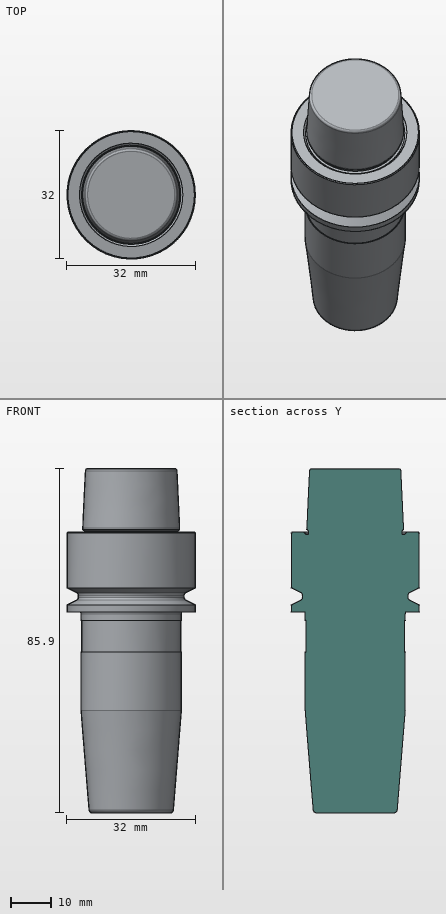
import cadquery as cq
import math

TOTAL_HEIGHT = 85.9
TAPER_TOP_Z = 25.6
SHANK_STEP_Z = 40.1
COLLAR_BOTTOM_Z = 48.0
FLANGE_BOTTOM_Z = 50.1
GROOVE_CENTER_Z = 54.0
BODY_TOP_Z = 70.1
CONE_BOTTOM_Z = 71.1

BODY_RADIUS = 16.02
SHANK_RADIUS = 12.5
NECK_RADIUS = 12.4
NOSE_RADIUS = 10.5
GROOVE_RADIUS = 13.2
CONE_BASE_RADIUS = 12.1
CONE_TOP_RADIUS = 11.4
UNDERCUT_RADIUS = 11.7
RELIEF_RADIUS = 12.9

NOSE_FILLET = 0.9
CONE_TOP_FILLET = 0.6
BODY_TOP_CHAMFER = 0.3
CONE_BASE_BAND = 0.4
COLLAR_FLARE_WIDTH = 0.1
COLLAR_FLARE_HEIGHT = 0.4
RELIEF_DEPTH = 0.5
UNDERCUT_HEIGHT = 0.35
GROOVE_FLAT = 0.5
GROOVE_FILLET = 0.8
GROOVE_FLANK_ANGLE = 26


def make_blank():
    """Revolve the shank, body and cone about the Z axis."""
    outline = [
        (0, 0),
        (NOSE_RADIUS, 0),
        (SHANK_RADIUS, TAPER_TOP_Z),
        (SHANK_RADIUS, SHANK_STEP_Z),
        (NECK_RADIUS, SHANK_STEP_Z),
        (NECK_RADIUS, COLLAR_BOTTOM_Z),
        (SHANK_RADIUS, COLLAR_BOTTOM_Z),
        (SHANK_RADIUS, FLANGE_BOTTOM_Z - COLLAR_FLARE_HEIGHT),
        (SHANK_RADIUS + COLLAR_FLARE_WIDTH, FLANGE_BOTTOM_Z),
        (BODY_RADIUS, FLANGE_BOTTOM_Z),
        (BODY_RADIUS, BODY_TOP_Z - BODY_TOP_CHAMFER),
        (BODY_RADIUS - BODY_TOP_CHAMFER, BODY_TOP_Z),
        (RELIEF_RADIUS, BODY_TOP_Z),
        (RELIEF_RADIUS - RELIEF_DEPTH, BODY_TOP_Z - RELIEF_DEPTH),
        (UNDERCUT_RADIUS, BODY_TOP_Z - RELIEF_DEPTH),
        (UNDERCUT_RADIUS, CONE_BOTTOM_Z - CONE_BASE_BAND - UNDERCUT_HEIGHT),
        (CONE_BASE_RADIUS, CONE_BOTTOM_Z - CONE_BASE_BAND),
        (CONE_BASE_RADIUS, CONE_BOTTOM_Z),
        (CONE_TOP_RADIUS, TOTAL_HEIGHT),
        (0, TOTAL_HEIGHT),
    ]
    blank = cq.Workplane("XZ").polyline(outline).close().revolve(360, (0, 0), (0, 1))
    blank = blank.faces("<Z").edges().fillet(NOSE_FILLET)
    return blank.faces(">Z").edges().fillet(CONE_TOP_FILLET)


def make_gripper_groove():
    """V-shaped ring with a flat floor and rounded floor corners, to be cut around the body."""
    flank_angle = math.radians(GROOVE_FLANK_ANGLE)
    sine = math.sin(flank_angle)
    cosine = math.cos(flank_angle)
    flat = GROOVE_FLAT / 2
    tangent_height = flat + GROOVE_FILLET * cosine
    tangent_radius = GROOVE_RADIUS + GROOVE_FILLET * (1 - sine)
    mouth = tangent_height + (BODY_RADIUS - tangent_radius) * math.tan(flank_angle)

    middle_angle = (math.pi / 2 - flank_angle) / 2
    middle_height = flat + GROOVE_FILLET * math.sin(middle_angle)
    middle_radius = GROOVE_RADIUS + GROOVE_FILLET * (1 - math.cos(middle_angle))

    profile = (
        cq.Workplane("XZ")
        .moveTo(GROOVE_RADIUS, GROOVE_CENTER_Z - flat)
        .threePointArc(
            (middle_radius, GROOVE_CENTER_Z - middle_height),
            (tangent_radius, GROOVE_CENTER_Z - tangent_height),
        )
        .lineTo(BODY_RADIUS, GROOVE_CENTER_Z - mouth)
        .lineTo(BODY_RADIUS, GROOVE_CENTER_Z + mouth)
        .lineTo(tangent_radius, GROOVE_CENTER_Z + tangent_height)
        .threePointArc(
            (middle_radius, GROOVE_CENTER_Z + middle_height),
            (GROOVE_RADIUS, GROOVE_CENTER_Z + flat),
        )
        .close()
    )
    return profile.revolve(360, (0, 0), (0, 1))


result = make_blank().cut(make_gripper_groove())